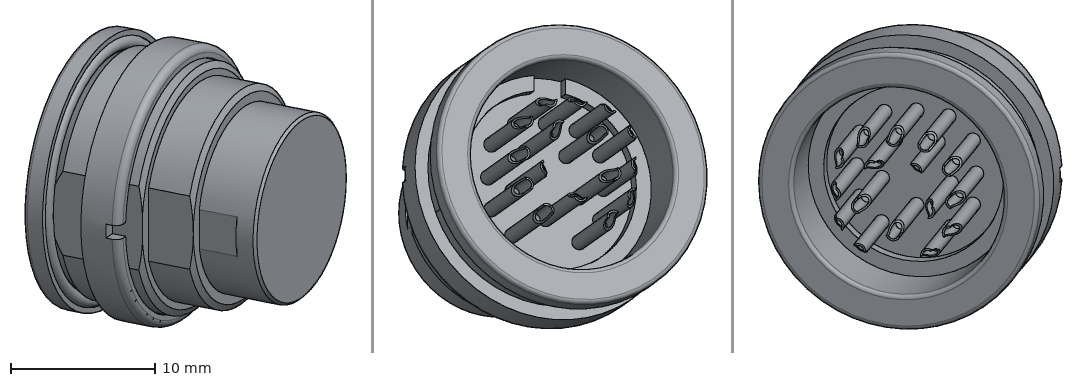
import cadquery as cq
import math


contact_tip_x = -1.5
nose_end_x = 16.5

flange_dia = 20.0
flange_thickness = 1.5
flange_edge_radius = 0.3
thread_dia = 18.0
thread_start_x = 2.25
thread_end_x = 8.5
thread_chamfer_length = 0.28
thread_chamfer_depth = 0.5
thread_flat_offset = 8.45
collar_dia = 16.0
collar_end_x = 12.0
collar_chamfer_length = 0.28
collar_chamfer_depth = 0.48
collar_flat_offset = 7.52
nose_dia = 13.6
nose_chamfer = 0.2
nose_flat_offset = 6.65
nose_flat_end_x = 14.95

bore_dia = 15.0
bore_depth = 4.6
bore_edge_radius = 0.3
recess_dia = 12.8
recess_depth = 0.9
keyway_width = 2.32

ring_inner_dia = 17.18
ring_section_dia = 1.0
ring_protrusion = 0.3
ring_center_radius = (ring_inner_dia + ring_section_dia) / 2
ring_center_x = flange_thickness + ring_protrusion - ring_section_dia / 2
groove_floor_x = ring_center_x - ring_section_dia / 2

nut_outer_dia = flange_dia
nut_bore_dia = 18.1
nut_start_x = 4.5
nut_width = 3.0
nut_end_x = nut_start_x + nut_width
nut_edge_radius = 0.55
nut_slot_width = 1.05
nut_slot_depth = 1.05

contact_dia = 1.05
cup_dia = 0.75
cup_depth = 2.4
cup_tip_angle = 118.0
cup_cut_offset = 0.18
cup_cut_radius = 2.2
inner_contact_count = 5
inner_circle_radius = 2.58
inner_first_angle = -90.0
axis_contact_offset = 4.25
side_contacts = [(2.28, 4.0), (4.02, 2.38), (axis_contact_offset, 0.0), (4.02, -2.25), (2.48, -4.0)]


def cylinder(diameter, start_x, end_x):
    """Solid cylinder on the X axis."""
    return cq.Workplane("YZ", origin=(start_x, 0, 0)).circle(diameter / 2).extrude(end_x - start_x)


def stepped_outside():
    """Flange, thread, collar and nose, revolved about the X axis."""
    flange_r = flange_dia / 2
    thread_r = thread_dia / 2
    collar_r = collar_dia / 2
    nose_r = nose_dia / 2
    outline = [
        (0, 0),
        (0, flange_r),
        (flange_thickness, flange_r),
        (flange_thickness, ring_inner_dia / 2),
        (thread_start_x, thread_r),
        (thread_end_x - thread_chamfer_length, thread_r),
        (thread_end_x, thread_r - thread_chamfer_depth),
        (thread_end_x, collar_r),
        (collar_end_x - collar_chamfer_length, collar_r),
        (collar_end_x, collar_r - collar_chamfer_depth),
        (collar_end_x, nose_r),
        (nose_end_x - nose_chamfer, nose_r),
        (nose_end_x, nose_r - nose_chamfer),
        (nose_end_x, 0),
    ]
    body = cq.Workplane("XY").polyline(outline).close().revolve(360, (0, 0, 0), (1, 0, 0))
    return body.faces("<X").edges().fillet(flange_edge_radius)


def cut_flat_pair(body, offset, start_x, end_x):
    """Mill flats at Y = offset and Y = -offset over one stretch of the axis."""
    length = end_x - start_x
    for side in (1, -1):
        block = cq.Workplane("XY").box(length, flange_dia, flange_dia)
        block = block.translate(((start_x + end_x) / 2, side * (offset + flange_dia / 2), 0))
        body = body.cut(block)
    return body


def rear_cavity():
    """Rear bore, with a smaller keyed recess in its floor."""
    bore = cylinder(bore_dia, 0, bore_depth)
    recess_end_x = bore_depth + recess_depth
    recess = cylinder(recess_dia, bore_depth, recess_end_x)
    keyway = (
        cq.Workplane("XY")
        .box(recess_depth, keyway_width, bore_dia, centered=(False, True, False))
        .translate((bore_depth, 0, 0))
        .intersect(cylinder(bore_dia, bore_depth, recess_end_x))
    )
    return bore.union(recess.union(keyway))


def ring_groove():
    """Annular groove in the flange that seats the O-ring."""
    outer = cylinder(ring_inner_dia + 2 * ring_section_dia, groove_floor_x, flange_thickness)
    return outer.cut(cylinder(ring_inner_dia, groove_floor_x, flange_thickness))


def contact_positions():
    """(y, z, opening angle) of each contact; outer cups open outward, inner ones toward the axis."""
    outer = [(0.0, axis_contact_offset)]
    for y, z in side_contacts:
        outer += [(y, z), (-y, z)]
    positions = [(y, z, math.degrees(math.atan2(z, y))) for y, z in outer]
    for index in range(inner_contact_count):
        angle = inner_first_angle + index * 360 / inner_contact_count
        y = inner_circle_radius * math.cos(math.radians(angle))
        z = inner_circle_radius * math.sin(math.radians(angle))
        positions.append((y, z, angle + 180))
    return positions


def contact():
    """One contact on the X axis, rooted in the recess floor, with its cup open toward +Y."""
    pin = cylinder(contact_dia, contact_tip_x, bore_depth + recess_depth)
    cup_r = cup_dia / 2
    cup_end_x = contact_tip_x + cup_depth
    cone_length = cup_r / math.tan(math.radians(cup_tip_angle / 2))
    cup = (
        cq.Workplane("XY")
        .polyline([
            (contact_tip_x, 0),
            (contact_tip_x, cup_r),
            (cup_end_x, cup_r),
            (cup_end_x + cone_length, 0),
        ])
        .close()
        .revolve(360, (0, 0, 0), (1, 0, 0))
    )
    opening = (
        cq.Workplane("XY")
        .center(contact_tip_x, cup_cut_radius - cup_cut_offset)
        .circle(cup_cut_radius)
        .extrude(contact_dia, both=True)
    )
    return pin.cut(cup).cut(opening)


def make_housing():
    """Housing in one piece with its contacts."""
    body = stepped_outside()
    body = cut_flat_pair(body, thread_flat_offset, flange_thickness, thread_end_x)
    body = cut_flat_pair(body, collar_flat_offset, thread_end_x, collar_end_x)
    body = cut_flat_pair(body, nose_flat_offset, collar_end_x, nose_flat_end_x)
    body = body.cut(rear_cavity()).cut(ring_groove())
    rim = cq.selectors.RadiusNthSelector(0)
    body = body.faces("<X").edges(rim).fillet(bore_edge_radius)
    template = contact()
    for y, z, angle in contact_positions():
        body = body.union(template.rotate((0, 0, 0), (1, 0, 0), angle).translate((0, y, z)))
    return body


def make_o_ring():
    """Sealing ring between the flange and the panel."""
    return cq.Workplane(cq.Solid.makeTorus(
        ring_center_radius, ring_section_dia / 2, cq.Vector(ring_center_x, 0, 0), cq.Vector(1, 0, 0)
    ))


def make_nut():
    """Ring nut with two driving slots across its front face."""
    nut = cylinder(nut_outer_dia, nut_start_x, nut_end_x)
    nut = nut.faces(">X").edges().fillet(nut_edge_radius)
    nut = nut.cut(cylinder(nut_bore_dia, nut_start_x, nut_end_x))
    slots = (
        cq.Workplane("XY")
        .box(nut_slot_depth, nut_outer_dia, nut_slot_width)
        .translate((nut_end_x - nut_slot_depth / 2, 0, 0))
    )
    return nut.cut(slots)


housing = make_housing()
o_ring = make_o_ring()
nut = make_nut()

result = cq.Compound.makeCompound([housing.val(), o_ring.val(), nut.val()])